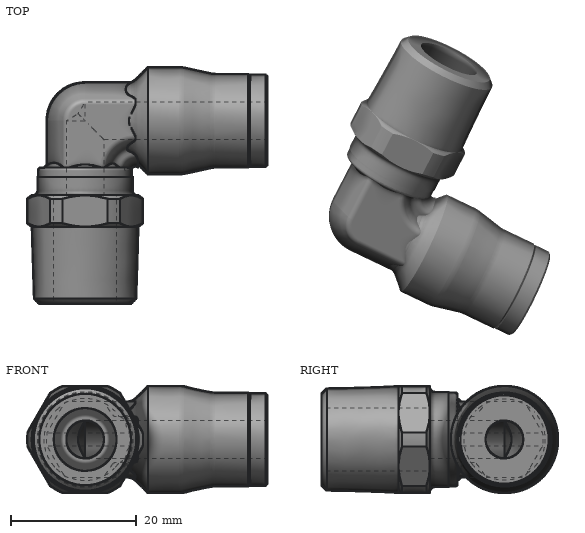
import math

import cadquery as cq


NECK_HALF_HEIGHT = 6.05
NECK_SLOPE_APOTHEM = 5.77
NECK_CORNER_RADIUS = 6.15
NECK_EDGE_FILLET = 1.05
SLOPE_ANGLE = math.radians(60)
NECK_LENGTH = 8.0
INNER_BEND_RADIUS = 8.25

WEB_HALF_HEIGHT = 3.63
WEB_FILLET = 0.85
WEB_ROUND_RADIUS = 4.78
WEB_INNER_RADIUS = 0.7
WEB_REACH = 8.4

TUBE_END = 29.01
TUBE_BODY_RADIUS = 8.55
TUBE_SLEEVE_RADIUS = 7.48
TUBE_BODY_START = 10.03
TUBE_BODY_END = 14.98
TUBE_SLEEVE_START = 20.71
TUBE_SLEEVE_END = 25.95
TUBE_BLEND_LENGTH = 0.79
TUBE_BLEND_RISE = 0.08
TUBE_GROOVE_WIDTH = 0.33
TUBE_GROOVE_RADIUS = 6.47
TUBE_RING_RADIUS = 7.37
TUBE_RING_CHAMFER = 0.33

SHOULDER_START = 6.43
SHOULDER_START_RADIUS = 5.75
SHOULDER_CREST = 7.36
SHOULDER_CREST_RADIUS = 6.16
SHOULDER_CONE_START = 8.17
SHOULDER_CONE_RADIUS = 6.69
SHOULDER_BULGE = 0.06

COLLAR_FACE = 7.44
COLLAR_CONE_START = 6.65
COLLAR_CONE_START_RADIUS = 5.75
COLLAR_STEP = 8.94
COLLAR_UPPER_RADIUS = 7.5
COLLAR_LOWER_RADIUS = 7.6
COLLAR_ROUND = 0.5
COLLAR_END = 11.16

HEX_START = 11.85
HEX_END = 16.88
HEX_ACROSS_FLATS = 17.0
HEX_CORNER_RADIUS = 9.23
HEX_CHAMFER_LENGTH = 0.57
HEX_CHAMFER_DEPTH = 0.77

THREAD_END = 29.15
THREAD_GAUGE_LINE = 22.65
THREAD_GAUGE_RADIUS = 8.33
THREAD_RADIUS_TAPER = 1 / 32
THREAD_CHAMFER = 0.87

THREAD_BORE_RADIUS = 5.0
PASSAGE_RADIUS = 3.0
DRILL_HALF_ANGLE = math.radians(59)


def threaded_leg(solid):
    """Turn a solid built along +X so that it lies along -Y."""
    return solid.rotate((0, 0, 0), (1, -1, 0), 180)


def revolve_leg(outline):
    """Close an outline down to the X axis and revolve it."""
    return outline.close().revolve(360, (0, 0, 0), (1, 0, 0))


def neck_outline(workplane, direction=1, origin=0.0):
    """Half of the neck section, from the leg axis out to its rounded corner."""

    def point(offset, height):
        return (origin + direction * offset, height)

    cos_s = math.cos(SLOPE_ANGLE)
    sin_s = math.sin(SLOPE_ANGLE)
    sharp_edge = (NECK_SLOPE_APOTHEM - NECK_HALF_HEIGHT * cos_s) / sin_s
    tangent = NECK_EDGE_FILLET * math.tan(SLOPE_ANGLE / 2)
    flat_edge = sharp_edge - tangent
    centre_height = NECK_HALF_HEIGHT - NECK_EDGE_FILLET
    middle = (
        flat_edge + NECK_EDGE_FILLET * math.sin(SLOPE_ANGLE / 2),
        centre_height + NECK_EDGE_FILLET * math.cos(SLOPE_ANGLE / 2),
    )
    slope_top = (
        flat_edge + NECK_EDGE_FILLET * sin_s,
        centre_height + NECK_EDGE_FILLET * cos_s,
    )
    corner_angle = math.pi / 2 - SLOPE_ANGLE - math.acos(NECK_SLOPE_APOTHEM / NECK_CORNER_RADIUS)
    corner = (
        NECK_CORNER_RADIUS * math.cos(corner_angle),
        NECK_CORNER_RADIUS * math.sin(corner_angle),
    )
    return (
        workplane.moveTo(*point(0, -NECK_HALF_HEIGHT))
        .lineTo(*point(0, NECK_HALF_HEIGHT))
        .lineTo(*point(flat_edge, NECK_HALF_HEIGHT))
        .threePointArc(point(*middle), point(*slope_top))
        .lineTo(*point(*corner))
        .threePointArc(point(NECK_CORNER_RADIUS, 0), point(corner[0], -corner[1]))
        .lineTo(*point(slope_top[0], -slope_top[1]))
        .threePointArc(point(middle[0], -middle[1]), point(flat_edge, -NECK_HALF_HEIGHT))
        .close()
    )


def web_outline():
    """Section of the inner-corner web as (distance from the bend centre, height)."""
    cos_s = math.cos(SLOPE_ANGLE)
    sin_s = math.sin(SLOPE_ANGLE)

    slope_offset = (NECK_SLOPE_APOTHEM - WEB_HALF_HEIGHT * cos_s) / sin_s
    root_flat = INNER_BEND_RADIUS - slope_offset - WEB_FILLET * math.tan(SLOPE_ANGLE / 2)
    root_middle = (
        root_flat + WEB_FILLET * math.sin(SLOPE_ANGLE / 2),
        WEB_HALF_HEIGHT + WEB_FILLET * (1 - math.cos(SLOPE_ANGLE / 2)),
    )
    root_top = (root_flat + WEB_FILLET * sin_s, WEB_HALF_HEIGHT + WEB_FILLET * (1 - cos_s))

    edge_height = WEB_HALF_HEIGHT - WEB_FILLET
    turn = math.acos(edge_height / (WEB_ROUND_RADIUS - WEB_FILLET))
    web_centre = WEB_INNER_RADIUS + WEB_ROUND_RADIUS
    edge_flat = web_centre - (WEB_ROUND_RADIUS - WEB_FILLET) * math.sin(turn)
    edge_middle = (
        edge_flat - WEB_FILLET * math.sin(turn / 2),
        edge_height + WEB_FILLET * math.cos(turn / 2),
    )
    edge_end = (edge_flat - WEB_FILLET * math.sin(turn), edge_height + WEB_FILLET * math.cos(turn))

    def below(point):
        return (point[0], -point[1])

    return (
        cq.Workplane("XZ")
        .moveTo(INNER_BEND_RADIUS, root_top[1])
        .lineTo(*root_top)
        .threePointArc(root_middle, (root_flat, WEB_HALF_HEIGHT))
        .lineTo(edge_flat, WEB_HALF_HEIGHT)
        .threePointArc(edge_middle, edge_end)
        .threePointArc((WEB_INNER_RADIUS, 0), below(edge_end))
        .threePointArc(below(edge_middle), (edge_flat, -WEB_HALF_HEIGHT))
        .lineTo(root_flat, -WEB_HALF_HEIGHT)
        .threePointArc(below(root_middle), below(root_top))
        .lineTo(INNER_BEND_RADIUS, -root_top[1])
        .close()
    )


def inner_bend():
    """Inside of the elbow: neck section and web swept around the inner corner."""
    block = (
        cq.Workplane("XY")
        .rect(WEB_REACH, -WEB_REACH, centered=False)
        .extrude(NECK_HALF_HEIGHT, both=True)
    )
    surround = cq.Workplane("XY").circle(INNER_BEND_RADIUS).extrude(NECK_HALF_HEIGHT, both=True)
    swept = neck_outline(cq.Workplane("XZ"), -1, INNER_BEND_RADIUS).revolve(360, (0, 0, 0), (0, 1, 0))
    web = web_outline().revolve(360, (0, 0, 0), (0, 1, 0))
    hollow = surround.cut(swept).cut(web).translate((NECK_LENGTH, -NECK_LENGTH, 0))
    return block.cut(hollow)


def elbow_neck():
    """Two straight outer halves joined by the outer bend and the inner bend."""
    outer_half = neck_outline(cq.Workplane("YZ")).extrude(NECK_LENGTH)
    outer_bend = neck_outline(cq.Workplane("XZ")).revolve(360, (0, 0, 0), (0, 1, 0))
    return outer_half.union(threaded_leg(outer_half)).union(outer_bend).union(inner_bend())


def arc_through(outline, start, end, bulge):
    """Arc from start to end whose middle is shifted outward by bulge."""
    middle = ((start[0] + end[0]) / 2, (start[1] + end[1]) / 2 + bulge)
    return outline.threePointArc(middle, end)


def tube_body():
    """Shoulder, body, tapered sleeve, groove and end ring of the tube leg."""
    start = (SHOULDER_START, SHOULDER_START_RADIUS)
    crest = (SHOULDER_CREST, SHOULDER_CREST_RADIUS)
    cone = (SHOULDER_CONE_START, SHOULDER_CONE_RADIUS)
    taper_start = (TUBE_BODY_END + TUBE_BLEND_LENGTH, TUBE_BODY_RADIUS - TUBE_BLEND_RISE)
    taper_end = (TUBE_SLEEVE_START - TUBE_BLEND_LENGTH, TUBE_SLEEVE_RADIUS + TUBE_BLEND_RISE)
    blend_bulge = TUBE_BLEND_RISE / 4
    ring_start = TUBE_SLEEVE_END + TUBE_GROOVE_WIDTH

    outline = cq.Workplane("XY").moveTo(SHOULDER_START, 0).lineTo(*start)
    outline = arc_through(outline, start, crest, SHOULDER_BULGE)
    outline = arc_through(outline, crest, cone, -SHOULDER_BULGE)
    outline = outline.lineTo(TUBE_BODY_START, TUBE_BODY_RADIUS).lineTo(TUBE_BODY_END, TUBE_BODY_RADIUS)
    outline = arc_through(outline, (TUBE_BODY_END, TUBE_BODY_RADIUS), taper_start, blend_bulge)
    outline = outline.lineTo(*taper_end)
    outline = arc_through(outline, taper_end, (TUBE_SLEEVE_START, TUBE_SLEEVE_RADIUS), -blend_bulge)
    outline = (
        outline.lineTo(TUBE_SLEEVE_END, TUBE_SLEEVE_RADIUS)
        .lineTo(TUBE_SLEEVE_END, TUBE_GROOVE_RADIUS)
        .lineTo(ring_start, TUBE_GROOVE_RADIUS)
        .lineTo(ring_start, TUBE_RING_RADIUS)
        .lineTo(TUBE_END - TUBE_RING_CHAMFER, TUBE_RING_RADIUS)
        .lineTo(TUBE_END, TUBE_RING_RADIUS - TUBE_RING_CHAMFER)
        .lineTo(TUBE_END, 0)
    )
    return revolve_leg(outline)


def collar():
    """Stepped collar that flares out to the hexagon."""
    cone_end_radius = COLLAR_CONE_START_RADIUS + COLLAR_FACE - COLLAR_CONE_START
    round_shift = COLLAR_ROUND * (1 - math.sqrt(0.5))
    flare = HEX_START - COLLAR_END
    flare_shift = flare * math.sqrt(0.5)
    outline = (
        cq.Workplane("XY")
        .moveTo(COLLAR_CONE_START, 0)
        .lineTo(COLLAR_CONE_START, COLLAR_CONE_START_RADIUS)
        .lineTo(COLLAR_FACE, cone_end_radius)
        .lineTo(COLLAR_FACE, COLLAR_UPPER_RADIUS - COLLAR_ROUND)
        .threePointArc(
            (COLLAR_FACE + round_shift, COLLAR_UPPER_RADIUS - round_shift),
            (COLLAR_FACE + COLLAR_ROUND, COLLAR_UPPER_RADIUS),
        )
        .lineTo(COLLAR_STEP, COLLAR_UPPER_RADIUS)
        .lineTo(COLLAR_STEP, COLLAR_LOWER_RADIUS)
        .lineTo(COLLAR_END, COLLAR_LOWER_RADIUS)
        .threePointArc(
            (COLLAR_END + flare_shift, COLLAR_LOWER_RADIUS + flare - flare_shift),
            (HEX_START, COLLAR_LOWER_RADIUS + flare),
        )
        .lineTo(HEX_START, 0)
    )
    return revolve_leg(outline)


def hexagon():
    """Hexagon with rounded corners and both ends chamfered."""
    chamfered_radius = HEX_CORNER_RADIUS - HEX_CHAMFER_DEPTH
    corner_diameter = HEX_ACROSS_FLATS / math.cos(math.pi / 6)
    prism = (
        cq.Workplane("YZ")
        .workplane(offset=HEX_START)
        .polygon(6, corner_diameter)
        .extrude(HEX_END - HEX_START)
    )
    envelope = revolve_leg(
        cq.Workplane("XY")
        .moveTo(HEX_START, 0)
        .lineTo(HEX_START, chamfered_radius)
        .lineTo(HEX_START + HEX_CHAMFER_LENGTH, HEX_CORNER_RADIUS)
        .lineTo(HEX_END - HEX_CHAMFER_LENGTH, HEX_CORNER_RADIUS)
        .lineTo(HEX_END, chamfered_radius)
        .lineTo(HEX_END, 0)
    )
    return prism.intersect(envelope)


def thread_radius(distance):
    return THREAD_GAUGE_RADIUS + (THREAD_GAUGE_LINE - distance) * THREAD_RADIUS_TAPER


def thread():
    """Plain tapered cone at the thread diameter, chamfered at the free end."""
    chamfer_start = THREAD_END - THREAD_CHAMFER
    outline = (
        cq.Workplane("XY")
        .moveTo(HEX_END, 0)
        .lineTo(HEX_END, thread_radius(HEX_END))
        .lineTo(THREAD_GAUGE_LINE, THREAD_GAUGE_RADIUS)
        .lineTo(chamfer_start, thread_radius(chamfer_start))
        .lineTo(THREAD_END, thread_radius(chamfer_start) - THREAD_CHAMFER)
        .lineTo(THREAD_END, 0)
    )
    return revolve_leg(outline)


def passage(length):
    """Drilled passage along +X whose conical bottom reaches past the origin."""
    tip = PASSAGE_RADIUS / math.tan(DRILL_HALF_ANGLE)
    outline = (
        cq.Workplane("XY")
        .moveTo(-tip, 0)
        .lineTo(0, PASSAGE_RADIUS)
        .lineTo(length, PASSAGE_RADIUS)
        .lineTo(length, 0)
    )
    return revolve_leg(outline)


def thread_bore():
    """Wide bore from the thread end up to the back of the hexagon."""
    bore = cq.Workplane("YZ").workplane(offset=HEX_START).circle(THREAD_BORE_RADIUS)
    return bore.extrude(THREAD_END - HEX_START)


outside = elbow_neck().union(tube_body())
for section in (collar(), hexagon(), thread()):
    outside = outside.union(threaded_leg(section))

result = (
    outside.cut(passage(TUBE_END))
    .cut(threaded_leg(passage(THREAD_END)))
    .cut(threaded_leg(thread_bore()))
)